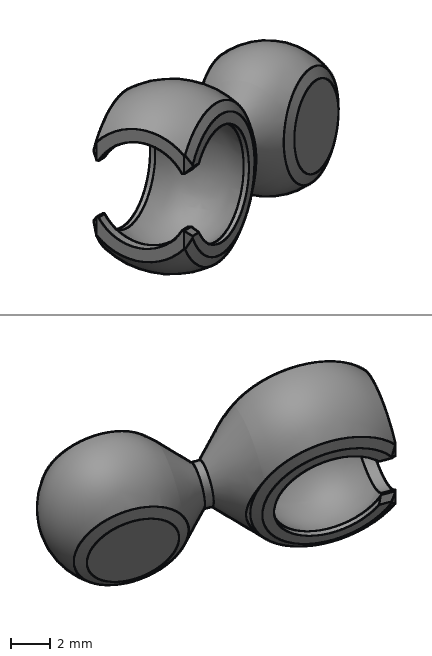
import cadquery as cq
import math

LENGTH = 18.26
WIDTH = 5.66
BALL_RADIUS = 4.0
CUP_RADIUS = 5.0
NECK_RADIUS = 1.25
SOCKET_RADIUS = 4.02
MOUTH_RADIUS = 2.83
SIDE_BORE_RADIUS = 3.12
BALL_FLAT_RADIUS = 2.48
CUP_FLAT_RADIUS = 3.76
CHAMFER_DEPTH = 0.3
END_BEVEL = 0.33
MOUTH_HALF_GAP = 1.52

HALF_WIDTH = WIDTH / 2
BEVEL_START = HALF_WIDTH - CHAMFER_DEPTH
DIAGONAL = math.sqrt(0.5)
CUP_TANGENT = CUP_RADIUS * DIAGONAL
BALL_TANGENT = BALL_RADIUS * DIAGONAL
OPEN_END_Y = -CUP_TANGENT
BALL_Y = OPEN_END_Y + LENGTH - BALL_RADIUS
NECK_START_Y = 2 * CUP_TANGENT - NECK_RADIUS
NECK_END_Y = BALL_Y - 2 * BALL_TANGENT + NECK_RADIUS


def turned_body():
    """Cup, cones, neck and ball, turned about the Y axis."""
    return (
        cq.Workplane("XY")
        .moveTo(0, OPEN_END_Y)
        .lineTo(CUP_TANGENT, OPEN_END_Y)
        .threePointArc((CUP_RADIUS, 0), (CUP_TANGENT, CUP_TANGENT))
        .lineTo(NECK_RADIUS, NECK_START_Y)
        .lineTo(NECK_RADIUS, NECK_END_Y)
        .lineTo(BALL_TANGENT, BALL_Y - BALL_TANGENT)
        .threePointArc((BALL_RADIUS, BALL_Y), (0, BALL_Y + BALL_RADIUS))
        .close()
        .revolve(360, (0, 0, 0), (0, 1, 0))
    )


def side_envelope(center_y, sphere_radius, flat_radius, start_y, end_y):
    """Bevelled width limit around one sphere, kept between two Y stations."""
    bevel_radius = math.sqrt(sphere_radius**2 - BEVEL_START**2)
    reach = 2 * sphere_radius
    disc = (
        cq.Workplane("XY")
        .moveTo(-HALF_WIDTH, center_y)
        .lineTo(-HALF_WIDTH, center_y + flat_radius)
        .lineTo(-BEVEL_START, center_y + bevel_radius)
        .lineTo(-BEVEL_START, center_y + reach)
        .lineTo(BEVEL_START, center_y + reach)
        .lineTo(BEVEL_START, center_y + bevel_radius)
        .lineTo(HALF_WIDTH, center_y + flat_radius)
        .lineTo(HALF_WIDTH, center_y)
        .close()
        .revolve(360, (0, center_y, 0), (1, center_y, 0))
    )
    slab = cq.Workplane("XY").box(WIDTH, end_y - start_y, 2 * reach)
    return disc.intersect(slab.translate((0, (start_y + end_y) / 2, 0)))


def bevel_open_end(envelope):
    """Bevel the two long side edges where the open end meets the flat sides."""
    cutter = (
        cq.Workplane("XY")
        .moveTo(HALF_WIDTH - END_BEVEL, OPEN_END_Y)
        .lineTo(HALF_WIDTH, OPEN_END_Y)
        .lineTo(HALF_WIDTH, OPEN_END_Y + END_BEVEL)
        .close()
        .extrude(CUP_RADIUS, both=True)
    )
    return envelope.cut(cutter).cut(cutter.mirror("YZ"))


def jaw_bevel():
    """Flared gap that bevels the jaw tips where the mouth breaks through one side."""
    inner_x = HALF_WIDTH - END_BEVEL
    inner_start_x = math.sqrt(MOUTH_RADIUS**2 - MOUTH_HALF_GAP**2)
    outer_half_gap = MOUTH_HALF_GAP + END_BEVEL
    return (
        cq.Workplane("XZ")
        .moveTo(inner_start_x, -MOUTH_HALF_GAP)
        .lineTo(inner_x, -MOUTH_HALF_GAP)
        .lineTo(HALF_WIDTH, -outer_half_gap)
        .lineTo(HALF_WIDTH, outer_half_gap)
        .lineTo(inner_x, MOUTH_HALF_GAP)
        .lineTo(inner_start_x, MOUTH_HALF_GAP)
        .close()
        .extrude(-OPEN_END_Y)
    )


neck_middle_y = (NECK_START_Y + NECK_END_Y) / 2
cup_envelope = side_envelope(0, CUP_RADIUS, CUP_FLAT_RADIUS, OPEN_END_Y, neck_middle_y)
ball_envelope = side_envelope(
    BALL_Y, BALL_RADIUS, BALL_FLAT_RADIUS, neck_middle_y, BALL_Y + BALL_RADIUS
)
body = turned_body()
cup = body.intersect(bevel_open_end(cup_envelope))
ball = body.intersect(ball_envelope)

socket = cq.Workplane("XY").sphere(SOCKET_RADIUS)
side_bore = cq.Workplane("YZ").circle(SIDE_BORE_RADIUS).extrude(HALF_WIDTH, both=True)
mouth = cq.Workplane("XZ").circle(MOUTH_RADIUS).extrude(-OPEN_END_Y)
cup = cup.cut(side_bore).cut(socket).cut(mouth)

cup = cup.cut(jaw_bevel()).cut(jaw_bevel().mirror("YZ"))

result = cup.union(ball)